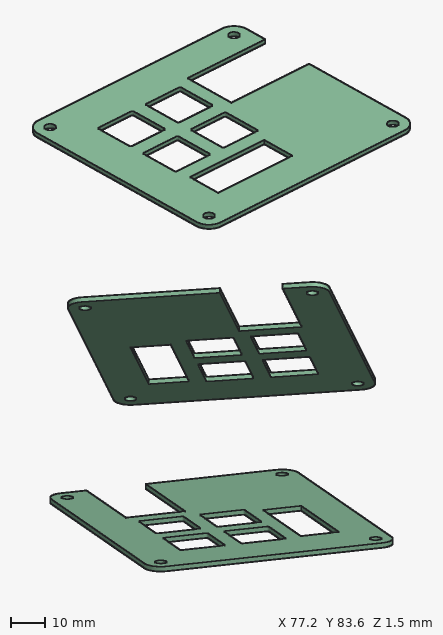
import cadquery as cq

plate_width = 77.2
plate_length = 83.6
plate_thickness = 1.5
corner_radius = 5.0

hole_diameter = 3.4
hole_spacing_x = plate_width - 2 * corner_radius
hole_spacing_y = plate_length - 2 * corner_radius

notch_width = 18.5
notch_depth = 31.1
notch_center_x = -16.4

key_size = 14.0
key_pitch = 19.1
key_corner_radius = 0.5
key_grid_center_x = -7.1
key_grid_center_y = -10.7

window_width = 11.9
window_length = 29.7
window_center_x = 20.3
window_center_y = -11.4


def plate_block(width, length, center_x, center_y):
    """Rectangular block as thick as the plate, standing on Z = 0."""
    block = cq.Workplane("XY").box(width, length, plate_thickness, centered=(True, True, False))
    return block.translate((center_x, center_y, 0))


def make_plate():
    plate = plate_block(plate_width, plate_length, 0, 0)
    return plate.edges("|Z").fillet(corner_radius)


def cut_mounting_holes(plate):
    return (
        plate.faces(">Z")
        .workplane(origin=(0, 0, plate_thickness))
        .rect(hole_spacing_x, hole_spacing_y, forConstruction=True)
        .vertices()
        .hole(hole_diameter)
    )


def cut_notch(plate):
    notch_center_y = plate_length / 2 - notch_depth / 2
    return plate.cut(plate_block(notch_width, notch_depth, notch_center_x, notch_center_y))


def cut_key_openings(plate):
    for side_x in (-1, 1):
        for side_y in (-1, 1):
            center_x = key_grid_center_x + side_x * key_pitch / 2
            center_y = key_grid_center_y + side_y * key_pitch / 2
            opening = plate_block(key_size, key_size, center_x, center_y)
            plate = plate.cut(opening.edges("|Z").fillet(key_corner_radius))
    return plate


def cut_window(plate):
    return plate.cut(plate_block(window_width, window_length, window_center_x, window_center_y))


result = make_plate()
result = cut_mounting_holes(result)
result = cut_notch(result)
result = cut_key_openings(result)
result = cut_window(result)